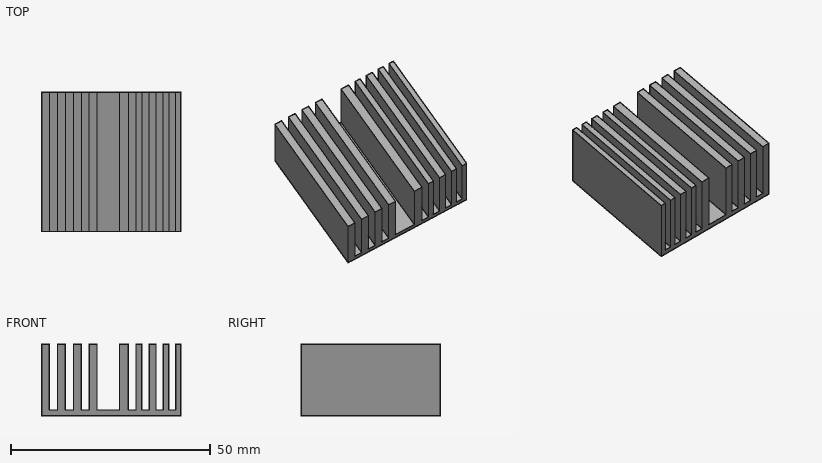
import cadquery as cq

width = 35.0
depth = 35.0
height = 18.0
base_thickness = 1.5

left_fin_count = 4
left_fin_width = 2.0
left_fin_pitch = 2 * left_fin_width

last_fin_width = 1.33
right_fins = [
    (19.53, 2.25),
    (23.7, 1.47),
    (27.0, 1.8),
    (30.52, 1.47),
    (width - last_fin_width, last_fin_width),
]


def block(x_start, block_width, block_height):
    """Full-depth block standing on the bottom plane."""
    return cq.Workplane("XY").box(
        block_width, depth, block_height, centered=False
    ).translate((x_start, 0, 0))


result = block(0, width, base_thickness)

for index in range(left_fin_count):
    result = result.union(block(index * left_fin_pitch, left_fin_width, height))

for fin_start, fin_width in right_fins:
    result = result.union(block(fin_start, fin_width, height))